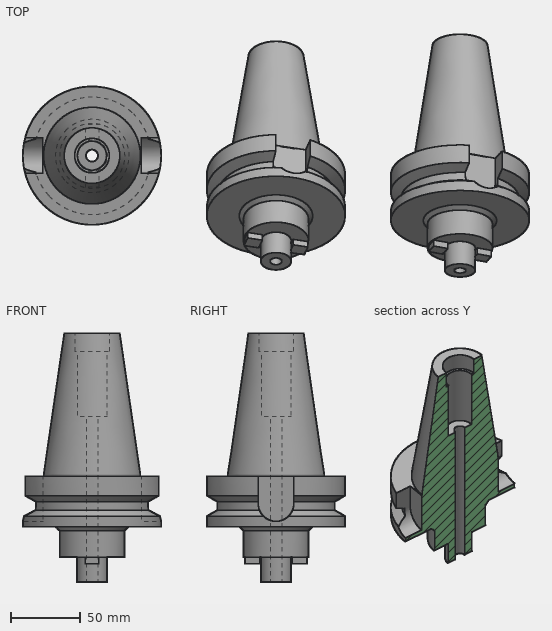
import cadquery as cq
import math


gauge_radius = 69.85 / 2
taper_length = 101.8
taper_ratio = 7 / 24
taper_end_radius = gauge_radius - taper_length * taper_ratio / 2

flange_radius = 100 / 2
flange_top = -1.5
flange_bottom = -38.0
upper_rim_height = 14.1
lower_rim_height = 7.7
groove_radius = 85 / 2
groove_side_angle = 30
groove_side_height = (flange_radius - groove_radius) * math.tan(math.radians(groove_side_angle))
upper_rim_bottom = flange_top - upper_rim_height
lower_rim_top = flange_bottom + lower_rim_height

slot_width = 25.7
slot_floor_offset = 35.4
slot_bottom = -34.1

boss_radius = 47 / 2
boss_bottom = -60.0
boss_chamfer = 3.0
pilot_radius = 22 / 2
pilot_length = 18.0
pilot_bottom = boss_bottom - pilot_length

key_width = 10.0
key_height = 4.8
key_inner_offset = 11.5
key_outer_offset = 22.5

counterbore_radius = 25 / 2
counterbore_depth = 13.0
stud_bore_radius = 21 / 2
stud_bore_depth = 60.0
through_hole_radius = 8.5 / 2


def turned_body():
    """Revolve the half profile of the taper, flange, boss and pilot."""
    profile = [
        (0, taper_length),
        (taper_end_radius, taper_length),
        (gauge_radius, 0),
        (gauge_radius, flange_top),
        (flange_radius, flange_top),
        (flange_radius, upper_rim_bottom),
        (groove_radius, upper_rim_bottom - groove_side_height),
        (groove_radius, lower_rim_top + groove_side_height),
        (flange_radius, lower_rim_top),
        (flange_radius, flange_bottom),
        (boss_radius + boss_chamfer, flange_bottom),
        (boss_radius, flange_bottom - boss_chamfer),
        (boss_radius, boss_bottom),
        (pilot_radius, boss_bottom),
        (pilot_radius, pilot_bottom),
        (0, pilot_bottom),
    ]
    return cq.Workplane("XZ").polyline(profile).close().revolve(360, (0, 0, 0), (0, 1, 0))


def drive_slot(side):
    """Cutter for the slot on the +X (side = 1) or -X (side = -1) edge of the flange."""
    half_width = slot_width / 2
    arc_center = slot_bottom + half_width
    return (
        cq.Workplane("YZ", origin=(side * slot_floor_offset, 0, 0))
        .moveTo(-half_width, flange_top)
        .lineTo(-half_width, arc_center)
        .threePointArc((0, slot_bottom), (half_width, arc_center))
        .lineTo(half_width, flange_top)
        .close()
        .extrude(side * flange_radius)
    )


def drive_key(side):
    """Key under the boss on the +Y (side = 1) or -Y (side = -1) side of the pilot."""
    key_length = key_outer_offset - key_inner_offset
    key_middle = (key_outer_offset + key_inner_offset) / 2
    return (
        cq.Workplane("XY", origin=(0, side * key_middle, boss_bottom))
        .rect(key_width, key_length)
        .extrude(-key_height)
    )


def bore(radius, depth):
    """Cutter for a round bore sunk from the small end of the taper."""
    return cq.Workplane("XY", origin=(0, 0, taper_length)).circle(radius).extrude(-depth)


result = turned_body()
for side in (-1, 1):
    result = result.cut(drive_slot(side))
    result = result.union(drive_key(side))

result = result.cut(bore(counterbore_radius, counterbore_depth))
result = result.cut(bore(stud_bore_radius, stud_bore_depth))
result = result.cut(bore(through_hole_radius, taper_length - pilot_bottom))